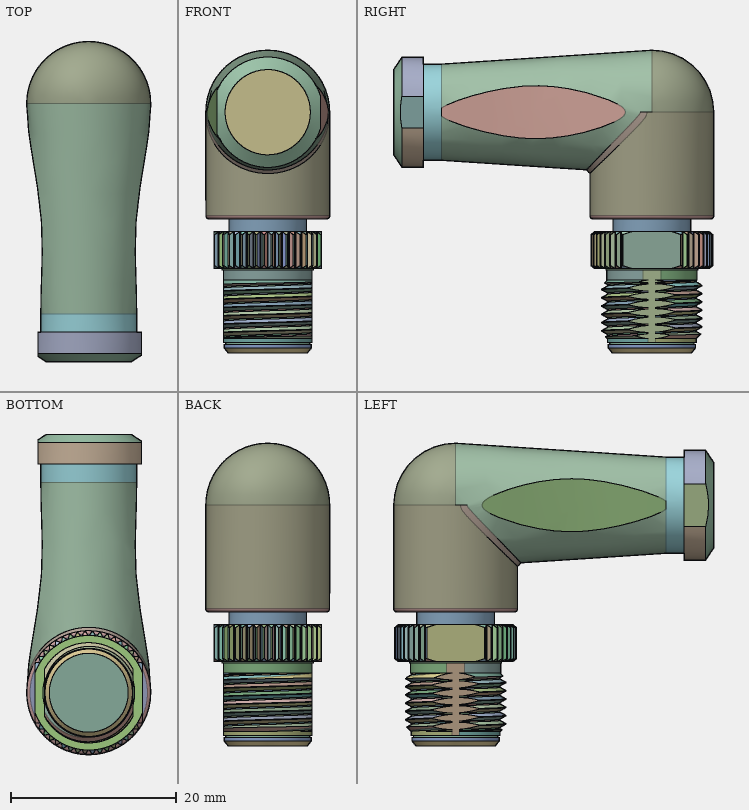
import cadquery as cq
import math


body_radius = 7.5
total_height = 36.6
body_bottom = -12.9
body_edge_fillet = 0.4
seam_chamfer = 0.4

taper_length = 25.4
collar_radius = 5.82
collar_end = 27.6
recess_start = 3.2
recess_middle = 14.3
recess_middle_x = 5.72
recess_end_x = 5.8
recess_ramp_slope = -0.13

cap_radius = 6.67
cap_face_radius = 5.15
cap_chamfer_length = 1.0
cap_end = 31.2
cap_left_flat = 6.15
cap_right_flat = 6.4

neck_radius = 4.7
nut_radius = 7.37
nut_top = -14.42
nut_bottom = -18.88
nut_chamfer_height = 0.35
nut_chamfer_depth = 0.45
nut_flat = 6.5
groove_count = 50
groove_depth = 0.45
groove_floor_width = 0.12
crest_width = 0.18
flange_radius = 5.55
flange_bottom = -19.06

plug_bottom = body_radius - total_height
plug_flat = 5.35
shoulder_radius = 5.46
shoulder_bottom = -20.27
core_radius = 5.37
core_bottom = -27.83
lip_groove_radius = 5.1
lip_top = -28.04
lip_radius = 5.28
lip_chamfer_top = -28.48
lip_end_radius = 4.77
thread_radius = 6.06
thread_pitch = 1.0
thread_turns = 8.5
thread_start = -28.16
thread_bottom = -27.35
thread_crest_width = 0.08
thread_base_width = 0.96
thread_overlap = 0.1


def disc(radius, bottom, top):
    """Solid cylinder on the Z axis between two heights."""
    return cq.Workplane("XY").workplane(offset=bottom).circle(radius).extrude(top - bottom)


def slab(x_min, x_max):
    """Block bounded only in X, larger than the part in Y and Z."""
    size = 4 * total_height
    return cq.Workplane("XY").box(x_max - x_min, size, size).translate(((x_min + x_max) / 2, 0, 0))


def make_leg():
    return disc(body_radius, body_bottom, 0).faces("<Z").edges().fillet(body_edge_fillet)


def make_corner_dome():
    """Rear half of a sphere, closing the corner behind the handle."""
    sphere = cq.Workplane("XY").sphere(body_radius)
    rear_half = cq.Workplane("XZ").rect(2 * total_height, 2 * total_height).extrude(-total_height)
    return sphere.intersect(rear_half)


def side_recess(side):
    """Long shallow scoop along one side of the handle; side is +1 or -1 in X."""
    outside = 2 * body_radius
    start_radius = body_radius + (collar_radius - body_radius) * recess_start / taper_length
    return (
        cq.Workplane("XY")
        .workplane(offset=-body_radius)
        .moveTo(side * start_radius, -recess_start)
        .spline(
            [(side * recess_middle_x, -recess_middle), (side * recess_end_x, -taper_length)],
            tangents=[(side * recess_ramp_slope, -1), (0, -1)],
            includeCurrent=True,
        )
        .lineTo(side * outside, -taper_length)
        .lineTo(side * outside, -recess_start)
        .close()
        .extrude(2 * body_radius)
    )


def make_handle():
    return (
        cq.Workplane("YZ")
        .polyline([
            (0, 0),
            (0, body_radius),
            (-taper_length, collar_radius),
            (-collar_end, collar_radius),
            (-collar_end, 0),
        ])
        .close()
        .revolve(360, (0, 0, 0), (1, 0, 0))
    )


def make_body():
    """Leg and handle with the seam under the elbow eased, the rear dome added and the sides scooped."""
    body = make_leg().union(make_handle())
    body = body.edges("%BSPLINE").chamfer(seam_chamfer)
    body = body.union(make_corner_dome())
    for side in (-1, 1):
        body = body.cut(side_recess(side))
    return body


def make_cap():
    cap = (
        cq.Workplane("XY")
        .polyline([
            (0, -collar_end),
            (cap_radius, -collar_end),
            (cap_radius, -cap_end + cap_chamfer_length),
            (cap_face_radius, -cap_end),
            (0, -cap_end),
        ])
        .close()
        .revolve(360, (0, 0, 0), (0, 1, 0))
    )
    return cap.intersect(slab(-cap_left_flat, cap_right_flat))


def make_nut():
    edge_radius = nut_radius - nut_chamfer_depth
    nut = (
        cq.Workplane("XZ")
        .polyline([
            (0, nut_bottom),
            (edge_radius, nut_bottom),
            (nut_radius, nut_bottom + nut_chamfer_height),
            (nut_radius, nut_top - nut_chamfer_height),
            (edge_radius, nut_top),
            (0, nut_top),
        ])
        .close()
        .revolve(360, (0, 0, 0), (0, 1, 0))
    )
    groove_step = 360 / groove_count
    pitch = math.radians(groove_step) * nut_radius
    mouth_half = (pitch - crest_width) / 2
    floor_half = groove_floor_width / 2
    floor_x = nut_radius - groove_depth
    outside_x = nut_radius + groove_depth
    groove = (
        cq.Workplane("XY")
        .workplane(offset=nut_bottom)
        .polyline([
            (floor_x, -floor_half),
            (floor_x, floor_half),
            (nut_radius, mouth_half),
            (outside_x, mouth_half),
            (outside_x, -mouth_half),
            (nut_radius, -mouth_half),
        ])
        .close()
        .extrude(nut_top - nut_bottom)
    )
    flat_half_angle = math.degrees(math.acos(nut_flat / nut_radius))
    side_count = int((90 - flat_half_angle) / groove_step)
    grooves = []
    for middle_angle in (-90, 90):
        for index in range(-side_count, side_count + 1):
            angle = middle_angle + index * groove_step
            grooves.append(groove.val().rotate((0, 0, 0), (0, 0, 1), angle))
    nut = cq.Workplane(nut.val().cut(*grooves))
    nut = nut.intersect(slab(-nut_flat, nut_flat))
    return nut.union(disc(flange_radius, flange_bottom, nut_bottom))


def make_thread():
    """Helical ridge with a triangular section, sunk slightly into the core."""
    base_radius = core_radius - thread_overlap
    path = cq.Wire.makeHelix(thread_pitch, thread_pitch * thread_turns, base_radius)
    ridge = (
        cq.Workplane("XZ")
        .polyline([
            (base_radius, -thread_base_width / 2),
            (thread_radius, -thread_crest_width / 2),
            (thread_radius, thread_crest_width / 2),
            (base_radius, thread_base_width / 2),
        ])
        .close()
        .sweep(cq.Workplane(path), isFrenet=True)
    )
    runout = thread_radius - core_radius
    envelope_radius = thread_radius + thread_overlap
    envelope = (
        disc(envelope_radius, thread_bottom, shoulder_bottom)
        .faces("<Z or >Z")
        .chamfer(runout + thread_overlap)
    )
    return ridge.translate((0, 0, thread_start)).intersect(envelope)


def make_plug():
    core = (
        cq.Workplane("XZ")
        .polyline([
            (0, flange_bottom),
            (shoulder_radius, flange_bottom),
            (shoulder_radius, shoulder_bottom),
            (core_radius, shoulder_bottom),
            (core_radius, core_bottom),
            (lip_groove_radius, core_bottom),
            (lip_groove_radius, lip_top),
            (lip_radius, lip_top),
            (lip_radius, lip_chamfer_top),
            (lip_end_radius, plug_bottom),
            (0, plug_bottom),
        ])
        .close()
        .revolve(360, (0, 0, 0), (0, 1, 0))
    )
    return core.union(make_thread()).intersect(slab(-plug_flat, plug_flat))


neck = disc(neck_radius, nut_top, body_bottom)

result = make_body().union(make_cap())
result = result.union(neck).union(make_nut()).union(make_plug())